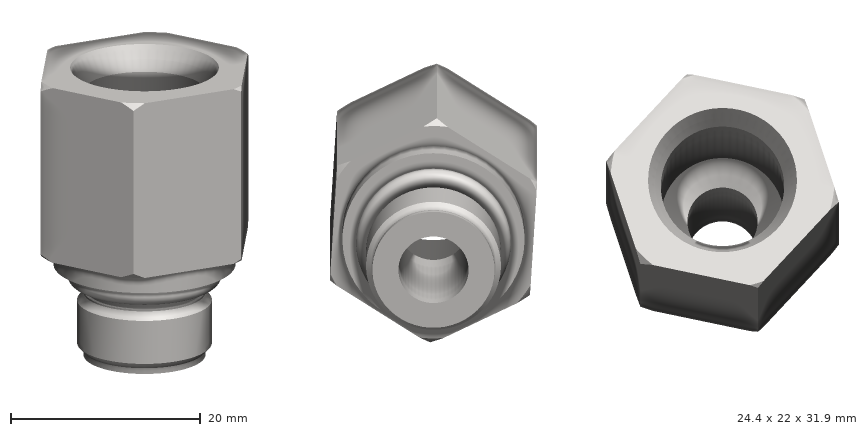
import cadquery as cq
import math

total_height = 31.88
hex_bottom = 12.45
collar_bottom = 10.05
ring_center_height = 9.02
shoulder_top = 7.15
shoulder_cone_top = 6.95
spigot_top = 6.12
spigot_bottom = 1.35
tip_top = 0.65

hex_length_x = 24.42
hex_width_y = 21.95
flank_tilt = math.radians(30)
hex_chamfer_radius = 11.8
collar_radius = 9.6
ring_center_radius = 7.1
ring_section_radius = 1.05
neck_radius = 6.1
shoulder_radius = 6.45
spigot_radius = 7.1

mouth_radius = 7.85
mouth_step_radius = 7.1
mouth_step_depth = 1.45
bore_radius = 6.5
bore_start_depth = 2.65
bore_end_depth = 15.95
through_radius = 3.7
floor_slope = math.radians(30)


def make_hex_body():
    """Hexagonal prism with 60 degree flanks and its corners turned off at 45 degrees."""
    apex_x = hex_length_x / 2
    flat_y = hex_width_y / 2
    corner_x = apex_x - flat_y * math.tan(flank_tilt)
    outline = [
        (apex_x, 0),
        (corner_x, flat_y),
        (-corner_x, flat_y),
        (-apex_x, 0),
        (-corner_x, -flat_y),
        (corner_x, -flat_y),
    ]
    height = total_height - hex_bottom
    prism = cq.Workplane("XY").workplane(offset=hex_bottom).polyline(outline).close().extrude(height)

    envelope_radius = math.hypot(corner_x, flat_y)
    envelope = (
        cq.Workplane("XY")
        .workplane(offset=hex_bottom)
        .circle(envelope_radius)
        .extrude(height)
        .edges()
        .chamfer(envelope_radius - hex_chamfer_radius)
    )
    return prism.intersect(envelope)


def make_turned_end():
    """Collar, rounded sealing ring, neck and chamfered spigot as one revolved profile."""
    collar_rise = collar_bottom - ring_center_height
    ring_top_radius = ring_center_radius + math.sqrt(ring_section_radius**2 - collar_rise**2)
    neck_offset = ring_center_radius - neck_radius
    ring_neck_height = ring_center_height - math.sqrt(ring_section_radius**2 - neck_offset**2)
    return (
        cq.Workplane("XZ")
        .moveTo(0, 0)
        .lineTo(shoulder_radius, 0)
        .lineTo(shoulder_radius, tip_top)
        .lineTo(spigot_radius, spigot_bottom)
        .lineTo(spigot_radius, spigot_top)
        .lineTo(shoulder_radius, shoulder_cone_top)
        .lineTo(shoulder_radius, shoulder_top)
        .lineTo(neck_radius, shoulder_top)
        .lineTo(neck_radius, ring_neck_height)
        .threePointArc(
            (ring_center_radius + ring_section_radius, ring_center_height),
            (ring_top_radius, collar_bottom),
        )
        .lineTo(collar_radius, collar_bottom)
        .lineTo(collar_radius, hex_bottom)
        .lineTo(0, hex_bottom)
        .close()
        .revolve(360, (0, 0), (0, 1))
    )


def make_bore():
    """Stepped bore: flared mouth, straight bore, conical floor and through hole."""
    floor_top = total_height - bore_end_depth
    floor_bottom = floor_top - (bore_radius - through_radius) * math.tan(floor_slope)
    return (
        cq.Workplane("XZ")
        .moveTo(0, 0)
        .lineTo(through_radius, 0)
        .lineTo(through_radius, floor_bottom)
        .lineTo(bore_radius, floor_top)
        .lineTo(bore_radius, total_height - bore_start_depth)
        .lineTo(mouth_step_radius, total_height - mouth_step_depth)
        .lineTo(mouth_radius, total_height)
        .lineTo(0, total_height)
        .close()
        .revolve(360, (0, 0), (0, 1))
    )


result = make_hex_body().union(make_turned_end()).cut(make_bore())